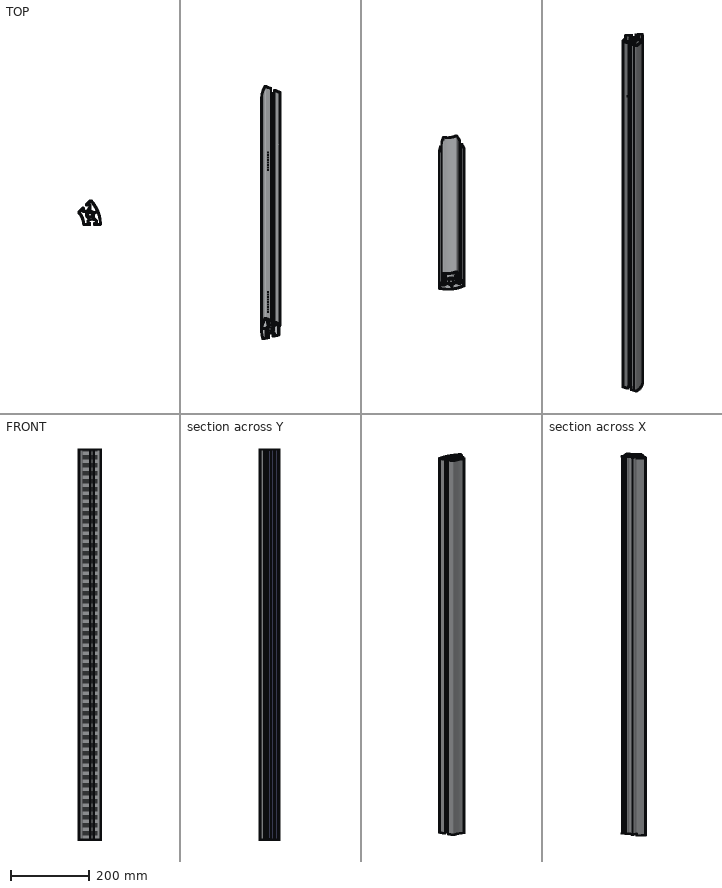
import cadquery as cq
import math

LENGTH = 1000.0
SECTOR_ANGLE = 45.0
INNER_RADIUS = 45.0
OUTER_RADIUS = 2 * INNER_RADIUS
CORNER_FILLET = 3.0
CURVED_WALL = 2.0
STRAIGHT_WALL = 2.5
HOLLOW_FILLET = 1.0

HUB_RADIUS = 10.0
HOLE_RADIUS = 5.5
RIB_THICKNESS = 2.5

SLOT_HALF_OPENING = 5.0
LIP_DEPTH = 5.0
LIP_OUTER_ROUND = 1.0
LIP_INNER_ROUND = 3.0
SLOT_HALF_WIDTH = 9.5
SLOT_SIDE_DEPTH = 10.0
FLOOR_HALF_WIDTH = 7.5
FLOOR_DEPTH = 12.0
GROOVE_HALF_WIDTH = 3.5
GROOVE_DEPTH = FLOOR_DEPTH + 1.0

SLOT_WALL = 2.5
SHELL_HALF_WIDTH = SLOT_HALF_WIDTH + SLOT_WALL
SHELL_SIDE_DEPTH = SLOT_SIDE_DEPTH
SHELL_TOP_HALF_WIDTH = 5.0
SHELL_TOP_DEPTH = 17.0

MID_RADIUS = (INNER_RADIUS + OUTER_RADIUS) / 2
HALF_ANGLE = SECTOR_ANGLE / 2


def polar(radius, angle):
    """Point at the given radius and angle in degrees."""
    a = math.radians(angle)
    return (radius * math.cos(a), radius * math.sin(a))


def turn(shape, angle):
    """Rotate a shape about the Z axis."""
    return shape.rotate((0, 0, 0), (0, 0, 1), angle)


def sector(inner, outer, offset):
    """Ring sector whose straight sides lie the given offset inside the slotted faces."""
    start_inner = math.degrees(math.asin(offset / inner))
    start_outer = math.degrees(math.asin(offset / outer))
    return (
        cq.Workplane("XY")
        .moveTo(*polar(inner, start_inner))
        .lineTo(*polar(outer, start_outer))
        .threePointArc(polar(outer, HALF_ANGLE), polar(outer, SECTOR_ANGLE - start_outer))
        .lineTo(*polar(inner, SECTOR_ANGLE - start_inner))
        .threePointArc(polar(inner, HALF_ANGLE), polar(inner, start_inner))
        .close()
        .extrude(LENGTH)
    )


def on_both_faces(half):
    """Complete a half slot shape about its centre plane and repeat it on both straight faces."""
    whole = half.union(half.mirror("YZ")).translate((MID_RADIUS, 0, 0))
    return whole.union(turn(whole.mirror("XZ"), SECTOR_ANGLE))


def slots():
    """T-slots with rounded lips, sloped floor corners and a shallow groove in the floor."""
    half = (
        cq.Workplane("XY")
        .moveTo(0, 0)
        .lineTo(SLOT_HALF_OPENING + LIP_OUTER_ROUND, 0)
        .radiusArc((SLOT_HALF_OPENING, LIP_OUTER_ROUND), LIP_OUTER_ROUND)
        .lineTo(SLOT_HALF_OPENING, LIP_DEPTH - LIP_INNER_ROUND)
        .radiusArc((SLOT_HALF_OPENING + LIP_INNER_ROUND, LIP_DEPTH), LIP_INNER_ROUND)
        .lineTo(SLOT_HALF_WIDTH, LIP_DEPTH)
        .lineTo(SLOT_HALF_WIDTH, SLOT_SIDE_DEPTH)
        .lineTo(FLOOR_HALF_WIDTH, FLOOR_DEPTH)
        .lineTo(GROOVE_HALF_WIDTH, FLOOR_DEPTH)
        .lineTo(GROOVE_HALF_WIDTH, GROOVE_DEPTH)
        .lineTo(0, GROOVE_DEPTH)
        .close()
        .extrude(LENGTH)
    )
    return on_both_faces(half)


def slot_shells():
    """Solid blocks that leave a wall around each slot."""
    half = (
        cq.Workplane("XY")
        .moveTo(0, 0)
        .lineTo(SHELL_HALF_WIDTH, 0)
        .lineTo(SHELL_HALF_WIDTH, SHELL_SIDE_DEPTH)
        .lineTo(SHELL_TOP_HALF_WIDTH, SHELL_TOP_DEPTH)
        .lineTo(0, SHELL_TOP_DEPTH)
        .close()
        .extrude(LENGTH)
    )
    return on_both_faces(half)


def core_cylinder(radius):
    """Full-length cylinder on the centre of the section."""
    return cq.Workplane("XY").center(*polar(MID_RADIUS, HALF_ANGLE)).circle(radius).extrude(LENGTH)


def rib():
    """Radial web from the hub to the outer wall."""
    reach = OUTER_RADIUS - MID_RADIUS
    web = cq.Workplane("XY").center(MID_RADIUS + reach / 2, 0).rect(reach, RIB_THICKNESS).extrude(LENGTH)
    return turn(web, HALF_ANGLE)


def hollows():
    """Three closed channels: one behind the inner wall and one on each side of the rib."""
    inside = sector(INNER_RADIUS + CURVED_WALL, OUTER_RADIUS - CURVED_WALL, STRAIGHT_WALL)
    channels = inside.cut(slot_shells()).cut(core_cylinder(HUB_RADIUS)).cut(rib())
    return channels.edges("|Z").fillet(HOLLOW_FILLET)


body = sector(INNER_RADIUS, OUTER_RADIUS, 0).edges("|Z").fillet(CORNER_FILLET)
result = body.cut(hollows()).cut(slots()).cut(core_cylinder(HOLE_RADIUS))